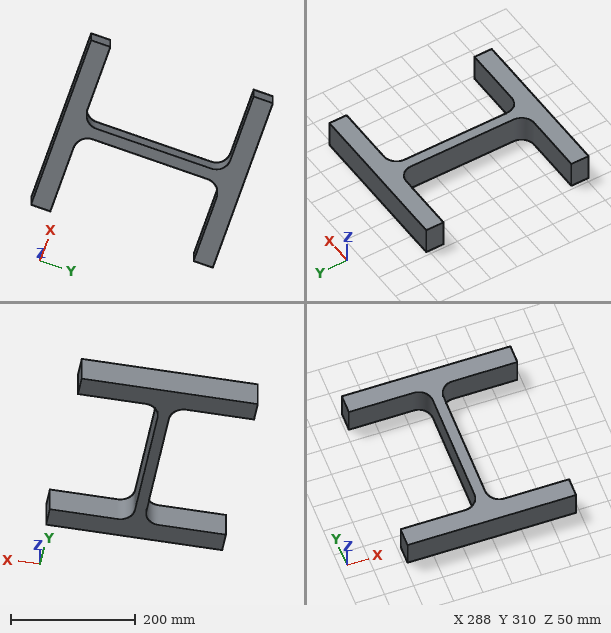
import cadquery as cq

flange_width = 288.0
section_depth = 310.0
flange_thickness = 33.0
web_thickness = 18.5
root_radius = 24.0
beam_length = 50.0


def flange(side):
    """Flange on the +Y (side = 1) or -Y (side = -1) end of the web."""
    center_y = side * (section_depth - flange_thickness) / 2
    return (
        cq.Workplane("XY")
        .center(0, center_y)
        .rect(flange_width, flange_thickness)
        .extrude(beam_length)
    )


def web():
    """Web between the outer faces of the two flanges."""
    return cq.Workplane("XY").rect(web_thickness, section_depth).extrude(beam_length)


def round_web_roots(beam):
    """Fillet the four inner corners where the web meets the flanges."""
    root_x = web_thickness / 2
    root_y = section_depth / 2 - flange_thickness
    tolerance = 1.0
    root_zone = cq.selectors.BoxSelector(
        (-root_x - tolerance, -root_y - tolerance, -tolerance),
        (root_x + tolerance, root_y + tolerance, beam_length + tolerance),
    )
    return beam.edges("|Z").edges(root_zone).fillet(root_radius)


beam = web().union(flange(1)).union(flange(-1)).clean()
result = round_web_roots(beam)